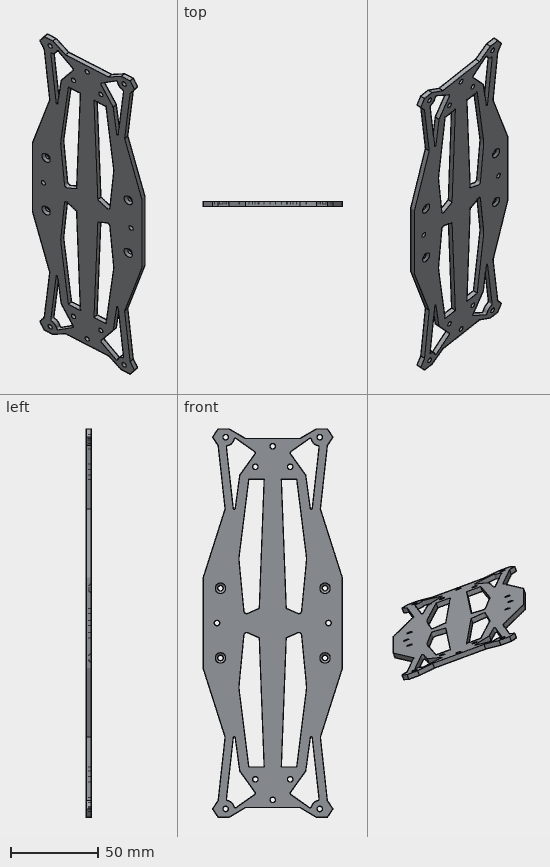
import cadquery as cq

length = 223.0
width = 80.0
thickness = 3.0
half_length = length / 2
half_width = width / 2

corner_hole = (27.0, 106.7)
flank_half_length = 26.0
waist = (27.4, 65.5)
ear_half_height = half_length - corner_hole[1]
ear_tip_x = 34.6
ear_outer_x = 31.4
ear_inner_x = 25.0
end_edge = (15.7, 106.0)

slot_end_z = 82.5
slot_end_inner_x = 5.0
slot_end_outer_x = 13.7
slot_bulge = (19.4, 37.0)
slot_bulge_radius = 20.0
slot_foot_outer = (16.3, 4.75)
slot_foot_inner = (7.8, 8.5)
slot_foot_radius = 1.5

window_inner = (9.7, 97.9)
window_top = (22.2, 106.7)
window_outer = (26.7, 102.5)
window_foot = (22.15, 61.8)
window_elbow = (19.0, 84.9)
window_inner_radius = 1.0
window_ear_radius = 0.7
window_foot_radius = 0.5
scallop_radius = 5.0

hole_diameter = 3.0
end_hole_z = 101.5
inner_hole = (10.0, 89.7)
side_hole_x = 32.0
countersunk_hole = (30.0, 20.0)
countersink_diameter = 6.0
countersink_angle = 90.0


def mirrored(x, z):
    """Return the point repeated in all four quarters of the plate."""
    return [(side * x, end * z) for side in (1, -1) for end in (1, -1)]


def front_plane():
    """Sketch plane on the -Y face: local x is X, local y is Z, normal is -Y."""
    return cq.Workplane("XZ")


def prism(points):
    """Extrude a closed outline through the plate, from Y = 0 to Y = thickness."""
    return front_plane().polyline(points).close().extrude(-thickness)


def round_edge(body, point, radius):
    """Fillet the through-thickness edge of the body nearest to the point."""
    selector = cq.selectors.NearestToPointSelector((point[0], thickness / 2, point[1]))
    return body.edges("|Y").edges(selector).fillet(radius)


def in_all_quarters(body):
    """Join the body with its mirror images across the YZ and XY planes."""
    pair = body.union(body.mirror("YZ"))
    return pair.union(pair.mirror("XY"))


def make_plate():
    quarter = prism([
        (0, 0),
        (half_width, 0),
        (half_width, flank_half_length),
        waist,
        (ear_outer_x, corner_hole[1] - ear_half_height),
        (ear_tip_x, corner_hole[1]),
        (ear_outer_x, half_length),
        (ear_inner_x, half_length),
        end_edge,
        (0, end_edge[1]),
    ])
    return in_all_quarters(quarter).clean()


def make_slot():
    slot = prism([
        (slot_end_inner_x, slot_end_z),
        (slot_end_outer_x, slot_end_z),
        slot_bulge,
        slot_foot_outer,
        slot_foot_inner,
    ])
    slot = round_edge(slot, slot_bulge, slot_bulge_radius)
    return round_edge(slot, slot_foot_outer, slot_foot_radius)


def make_window():
    window = prism([window_inner, window_top, window_outer, window_foot, window_elbow])
    boss = front_plane().center(*corner_hole).circle(scallop_radius).extrude(-thickness)
    window = window.cut(boss)
    for corner in (window_top, window_outer):
        window = round_edge(window, corner, window_ear_radius)
    window = round_edge(window, window_inner, window_inner_radius)
    return round_edge(window, window_foot, window_foot_radius)


def drill_holes(plate):
    points = mirrored(*corner_hole) + mirrored(*inner_hole)
    points += [(0, end_hole_z), (0, -end_hole_z)]
    points += [(side_hole_x, 0), (-side_hole_x, 0)]
    plate = plate.cut(front_plane().pushPoints(points).circle(hole_diameter / 2).extrude(-thickness))
    return (
        plate.copyWorkplane(front_plane())
        .pushPoints(mirrored(*countersunk_hole))
        .cskHole(hole_diameter, countersink_diameter, countersink_angle)
    )


result = make_plate()
result = result.cut(in_all_quarters(make_slot()))
result = result.cut(in_all_quarters(make_window()))
result = drill_holes(result)